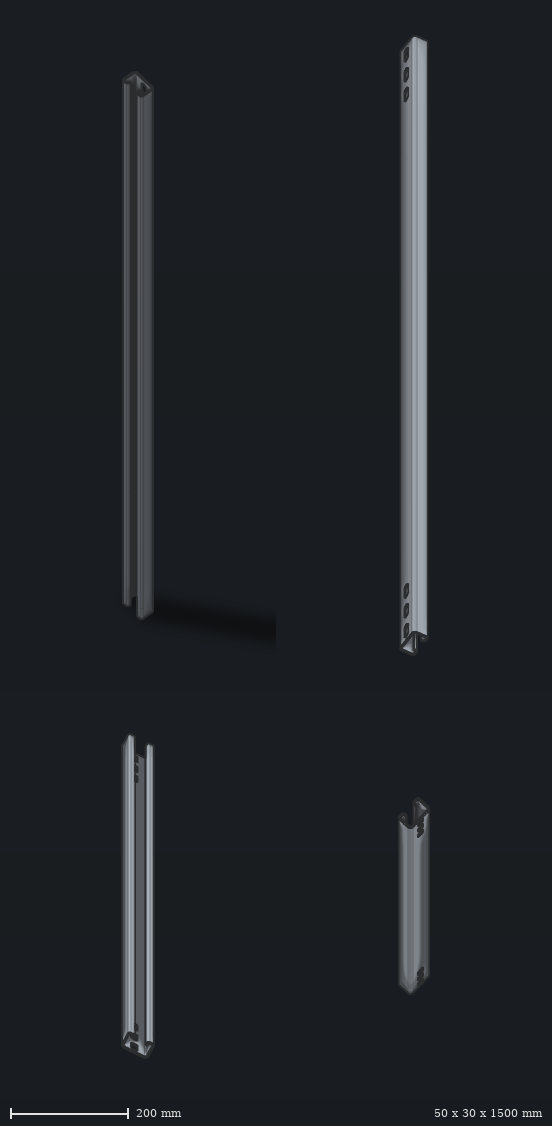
import cadquery as cq

width = 50.0
depth = 30.0
length = 1500.0

thickness = 3.0
web_bend_radius = 6.0
front_bend_radius = 4.0
mouth_bend_radius = 4.5
mouth_width = 22.0
lip_depth = 8.0

slot_length = 30.0
slot_width = 13.0
slot_pitch = 50.0
slots_per_end = 3
top_end_to_slot = 26.5
bottom_end_to_slot = slot_pitch - top_end_to_slot

half_width = width / 2
half_depth = depth / 2


def bar(x_min, x_max, y_min, y_max):
    """Straight bar running the full length of the rail."""
    return (
        cq.Workplane("XY")
        .box(x_max - x_min, y_max - y_min, length, centered=False)
        .translate((x_min, y_min, -length / 2))
    )


def round_corners(block, inset):
    """Round the long corners of a block lying `inset` inside the outer faces."""
    rounded_back = block.faces(">Y").edges("|Z").fillet(web_bend_radius - inset)
    return rounded_back.faces("<Y").edges("|Z").fillet(front_bend_radius - inset)


def tube():
    """Rectangular tube whose front wall is later opened by the mouth."""
    outer = bar(-half_width, half_width, -half_depth, half_depth)
    inner = bar(
        -half_width + thickness,
        half_width - thickness,
        -half_depth + thickness,
        half_depth - thickness,
    )
    outer = round_corners(outer, 0)
    inner = round_corners(inner, thickness)
    return outer.cut(inner)


def lip(side):
    """Lip turned back into the channel beside the mouth; side is -1 or +1."""
    near = side * mouth_width / 2
    far = near + side * thickness
    return bar(min(near, far), max(near, far), -half_depth, -half_depth + lip_depth)


def slot_heights():
    """Z of every slot centre, each group stepping inwards from its own end."""
    steps = [i * slot_pitch for i in range(slots_per_end)]
    upper = [length / 2 - top_end_to_slot - step for step in steps]
    lower = [-length / 2 + bottom_end_to_slot + step for step in steps]
    return upper + lower


def web_slots():
    """Round-ended cutters through the web, long along Z."""
    return (
        cq.Workplane("XZ", origin=(0, half_depth, 0))
        .pushPoints([(0, z) for z in slot_heights()])
        .slot2D(slot_length, slot_width, angle=90)
        .extrude(thickness)
    )


def round_lip_bends(body):
    """Bend the front wall into the lips at constant thickness, outside then inside."""
    for inset, radius in ((0, mouth_bend_radius), (thickness, mouth_bend_radius - thickness)):
        margin = thickness / 2
        half_span = mouth_width / 2 + inset + margin
        y = -half_depth + inset
        region = cq.selectors.BoxSelector(
            (-half_span, y - margin, -length),
            (half_span, y + margin, length),
        )
        body = body.edges("|Z").edges(region).fillet(radius)
    return body


def rail():
    """Channel with curled lips, centred on the origin, its mouth facing -Y."""
    mouth = bar(-mouth_width / 2, mouth_width / 2, -half_depth, -half_depth + thickness)
    body = tube().cut(mouth)
    for side in (-1, 1):
        body = body.union(lip(side))
    body = round_lip_bends(body)
    return body.cut(web_slots())


result = rail()